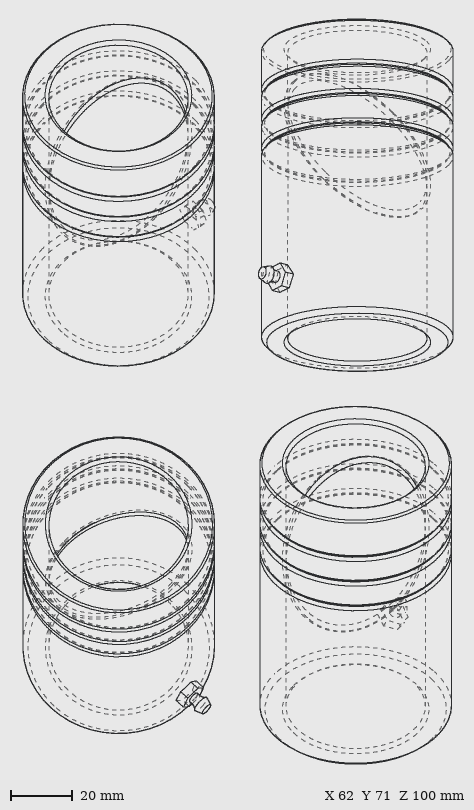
import cadquery as cq
import math

length = 100.0
outer_radius = 31.0
bore_radius = 22.5
top_chamfer = 0.7
bottom_chamfer = 1.7
bore_chamfer = 1.2

groove_count = 3
groove_pitch = 10.0
first_groove_depth_below_top = 15.1
groove_width = 2.4
groove_floor_width = 0.4
groove_depth = (groove_width - groove_floor_width) / 2

oil_groove_centre_z = 67.2
oil_groove_rise = 17.7
oil_groove_radius = 1.2

nipple_z = 15.0
nipple_tip_y = 40.0
hex_top_y = 34.1
hex_across_flats = 8.0
hex_turn = 5.0
neck_radius = 1.9
neck_end_y = 35.0
neck_flare_radius = 2.1
neck_flare_y = 36.3
ridge_radius = 2.9
ridge_y = 37.4
tip_radius = 2.0


def make_sleeve_blank():
    """Chamfered tube, turned from its half section."""
    section = [
        (bore_radius, bore_chamfer),
        (bore_radius + bore_chamfer, 0),
        (outer_radius - bottom_chamfer, 0),
        (outer_radius, bottom_chamfer),
        (outer_radius, length - top_chamfer),
        (outer_radius - top_chamfer, length),
        (bore_radius + bore_chamfer, length),
        (bore_radius, length - bore_chamfer),
    ]
    return cq.Workplane("XZ").polyline(section).close().revolve(360, (0, 0), (0, 1))


def make_outer_groove(centre_z):
    """Ring-shaped cutter with 45 degree flanks and a narrow flat floor."""
    half_width = groove_width / 2
    half_floor = groove_floor_width / 2
    floor_radius = outer_radius - groove_depth
    section = [
        (outer_radius, centre_z - half_width),
        (floor_radius, centre_z - half_floor),
        (floor_radius, centre_z + half_floor),
        (outer_radius, centre_z + half_width),
    ]
    return cq.Workplane("XZ").polyline(section).close().revolve(360, (0, 0), (0, 1))


def make_oil_groove():
    """Round bar bent to the ellipse in which an inclined plane meets the bore."""
    half_length = math.hypot(bore_radius, oil_groove_rise)
    plane = cq.Plane(
        origin=(0, 0, oil_groove_centre_z),
        xDir=(0, bore_radius, oil_groove_rise),
        normal=(0, -oil_groove_rise, bore_radius),
    )
    path = cq.Workplane(plane).ellipse(half_length, bore_radius)
    profile_plane = cq.Plane(
        origin=plane.toWorldCoords((half_length, 0, 0)),
        xDir=plane.xDir,
        normal=plane.yDir,
    )
    return cq.Workplane(profile_plane).circle(oil_groove_radius).sweep(path)


def make_sleeve():
    sleeve = make_sleeve_blank()
    for index in range(groove_count):
        groove_z = length - first_groove_depth_below_top - index * groove_pitch
        sleeve = sleeve.cut(make_outer_groove(groove_z))
    return sleeve.cut(make_oil_groove())


def make_nipple_head():
    """Neck, flare and tapered tip, turned about the nipple's own axis."""
    return (
        cq.Workplane("XY", origin=(0, 0, nipple_z))
        .moveTo(0, hex_top_y)
        .lineTo(neck_radius, hex_top_y)
        .lineTo(neck_radius, neck_end_y)
        .threePointArc((neck_flare_radius, neck_flare_y), (ridge_radius, ridge_y))
        .lineTo(tip_radius, nipple_tip_y)
        .lineTo(0, nipple_tip_y)
        .close()
        .revolve(360, (0, 0), (0, 1))
    )


def make_nipple():
    """Hexagon seated on the sleeve's curved outside, with the head on top."""
    hex_diameter = hex_across_flats / math.cos(math.radians(30))
    hexagon = (
        cq.Workplane("XZ", origin=(0, 0, nipple_z))
        .transformed(rotate=(0, 0, -hex_turn))
        .polygon(6, hex_diameter)
        .extrude(-hex_top_y)
    )
    sleeve_outside = cq.Workplane("XY").circle(outer_radius).extrude(length)
    return hexagon.cut(sleeve_outside).union(make_nipple_head())


sleeve = make_sleeve()
nipple = make_nipple()
result = cq.Compound.makeCompound([sleeve.val(), nipple.val()])